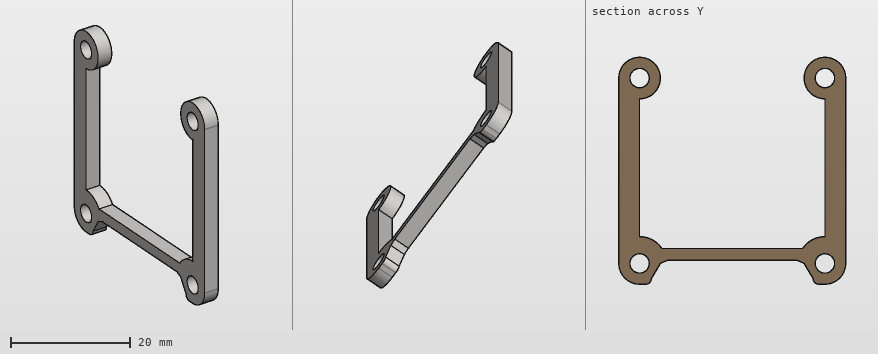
import cadquery as cq
import math

hole_spacing = 31.0
hole_diameter = 3.2
ear_radius = 3.5
thickness = 2.8
gusset_radius = 4.5
bar_bottom_offset = 0.5
bar_height = 2.0
foot_width = 2.0
toe_radius = 1.0
root_length = 1.15

hole_x = hole_spacing / 2
upper_z = hole_spacing / 2
lower_z = -hole_spacing / 2
outer_x = hole_x + ear_radius
bar_bottom = lower_z + bar_bottom_offset
bar_top = bar_bottom + bar_height

gusset_bar_angle = 180 - math.degrees(math.asin((bar_top - lower_z) / gusset_radius))
gusset_top_angle = 90

foot_bottom = lower_z - ear_radius
foot_inner_x = hole_x - foot_width
toe_center_x = foot_inner_x + toe_radius
toe_top = foot_bottom + toe_radius
flank_top_x = hole_x - ear_radius
root_end_x = flank_top_x - root_length


def point_around_hole(hole_z, radius, angle):
    """XZ point at the given radius and angle about a hole on the +X side."""
    turn = math.radians(angle)
    return (hole_x + radius * math.cos(turn), hole_z + radius * math.sin(turn))


def add_arc(path, hole_z, radius, start_angle, end_angle):
    """Continue the path along an arc centred on a hole on the +X side."""
    middle = point_around_hole(hole_z, radius, (start_angle + end_angle) / 2)
    end = point_around_hole(hole_z, radius, end_angle)
    return path.threePointArc(middle, end)


def half_frame():
    """The +X half of the frame, from the mid-plane of the bar outwards."""
    path = cq.Workplane("XZ", origin=(0, thickness / 2, 0)).moveTo(0, bar_top)

    path = path.lineTo(*point_around_hole(lower_z, gusset_radius, gusset_bar_angle))
    path = add_arc(path, lower_z, gusset_radius, gusset_bar_angle, gusset_top_angle)
    path = path.lineTo(hole_x, upper_z - ear_radius)

    path = add_arc(path, upper_z, ear_radius, 270, 0)
    path = path.lineTo(outer_x, lower_z)
    path = add_arc(path, lower_z, ear_radius, 360, 270)

    path = path.lineTo(toe_center_x, foot_bottom)
    path = path.tangentArcPoint((foot_inner_x, toe_top), relative=False)
    path = path.lineTo(flank_top_x, lower_z)
    path = path.lineTo(root_end_x, bar_bottom)
    return path.lineTo(0, bar_bottom).close().extrude(thickness)


def mounting_holes():
    """Through holes at the corners of the square pattern."""
    return (
        cq.Workplane("XZ", origin=(0, thickness / 2, 0))
        .rect(hole_spacing, hole_spacing, forConstruction=True)
        .vertices()
        .circle(hole_diameter / 2)
        .extrude(thickness)
    )


def build_frame():
    half = half_frame()
    frame = half.union(half.mirror("YZ")).clean()
    return frame.cut(mounting_holes())


result = build_frame()